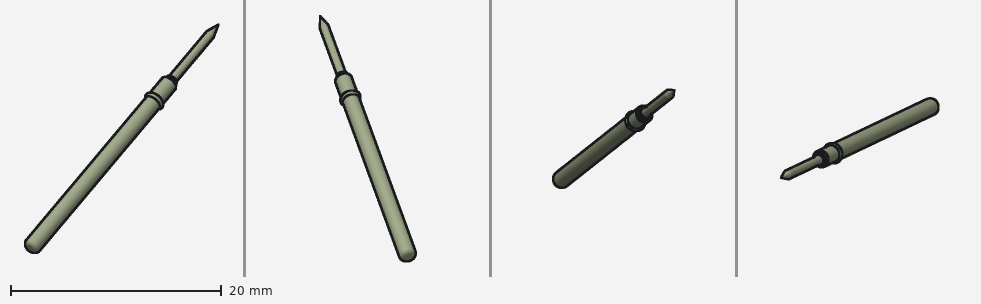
import cadquery as cq

total_length = 32.3

needle_radius = 0.45
tip_length = 1.46
shank_end_position = 7.75
flare_radius = 0.52

mouth_position = 8.0
mouth_radius = 0.56
mouth_length = 0.30
shoulder_radius = 0.69
shoulder_length = 0.22
barrel_radius = 0.83
end_round_radius = 0.46

ring_position = 11.05
ring_radius = 1.0
ring_half_width = 0.25


def station(distance_from_tip):
    """Y coordinate of a point given by its distance behind the tip."""
    return total_length - distance_from_tip


def revolve_profile(profile):
    """Turn a closed profile in the YZ plane about the Y axis."""
    return profile.close().revolve(360, (0, 0, 0), (1, 0, 0))


def make_needle():
    """Pointed needle with a straight shank that flares out to meet the barrel."""
    profile = (
        cq.Workplane("YZ")
        .moveTo(station(0), 0)
        .lineTo(station(tip_length), needle_radius)
        .lineTo(station(shank_end_position), needle_radius)
        .lineTo(station(mouth_position), flare_radius)
        .lineTo(station(mouth_position), 0)
    )
    return revolve_profile(profile)


def make_barrel():
    """Barrel with a narrow mouth, a stepped conical shoulder and a rounded rear end."""
    shoulder_start = mouth_position + mouth_length
    profile = (
        cq.Workplane("YZ")
        .moveTo(station(mouth_position), 0)
        .lineTo(station(mouth_position), mouth_radius)
        .lineTo(station(shoulder_start), mouth_radius)
        .lineTo(station(shoulder_start), shoulder_radius)
        .lineTo(station(shoulder_start + shoulder_length), barrel_radius)
        .lineTo(0, barrel_radius)
        .lineTo(0, 0)
    )
    return revolve_profile(profile).faces("<Y").edges().fillet(end_round_radius)


def make_ring():
    """Rounded bead that stands proud of the barrel."""
    profile = (
        cq.Workplane("YZ")
        .moveTo(station(ring_position - ring_half_width), 0)
        .lineTo(station(ring_position - ring_half_width), barrel_radius)
        .threePointArc(
            (station(ring_position), ring_radius),
            (station(ring_position + ring_half_width), barrel_radius),
        )
        .lineTo(station(ring_position + ring_half_width), 0)
    )
    return revolve_profile(profile)


result = make_barrel().union(make_needle()).union(make_ring())